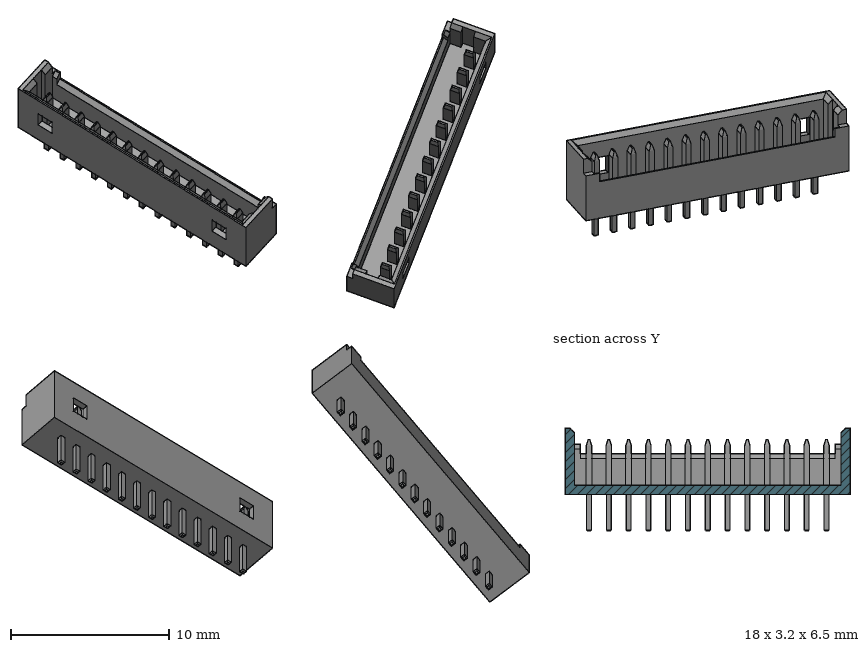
import cadquery as cq

LENGTH = 18.0
DEPTH = 3.2
HEIGHT = 4.2
FLOOR = 0.6
LONG_WALL = 0.4
END_WALL = 0.6
LEAD_IN = 0.3

SHOULDER_HEIGHT = 3.2
REAR_HEIGHT = 2.6
SHOULDER_END = 0.95

KEYWAY_FRONT = 1.2
KEYWAY_WIDTH = 0.85
KEYWAY_WALL = 0.3

WINDOW_WIDTH = 1.1
WINDOW_HEIGHT = 1.2
WINDOW_BASE = 1.58
WINDOW_OFFSET = 2.13

PIN_COUNT = 13
PITCH = 1.25
PIN_Y = 1.12
TAIL_SIZE = 0.32
TAIL_LENGTH = 2.3
TAIL_CHAMFER = 0.08
BLADE_WIDTH = 0.36
BLADE_DEPTH = 0.62
BLADE_BASE = FLOOR / 2
BLADE_TOP = 3.5
BLADE_TIP_HEIGHT = 0.4
TIP_WIDTH = 0.1
TIP_DEPTH = 0.44

CAVITY_LENGTH = LENGTH - 2 * END_WALL
REAR_INNER_Y = DEPTH - LONG_WALL


def box(x_size, y_min, y_max, z_min, z_max, x_center=0.0):
    """Block centred on x_center, spanning the given Y and Z ranges."""
    block = cq.Workplane("XY").box(x_size, y_max - y_min, z_max - z_min, centered=(True, False, False))
    return block.translate((x_center, y_min, z_min))


def rear_wall_cut(x_size, wall_top):
    """Cutter that lowers a stretch of the rear wall and bevels its inner edge."""
    profile = [
        (REAR_INNER_Y, HEIGHT),
        (REAR_INNER_Y, wall_top - LEAD_IN),
        (REAR_INNER_Y + LEAD_IN, wall_top),
        (DEPTH, wall_top),
        (DEPTH, HEIGHT),
    ]
    return cq.Workplane("YZ").polyline(profile).close().extrude(x_size / 2, both=True)


def lead_in_cut():
    """Flared mouth along the front wall and both end walls."""
    mouth_rear = REAR_INNER_Y + LEAD_IN
    flare = (
        cq.Workplane("XY", origin=(0, (LONG_WALL + mouth_rear) / 2, HEIGHT - LEAD_IN))
        .rect(CAVITY_LENGTH, mouth_rear - LONG_WALL)
        .workplane(offset=LEAD_IN)
        .rect(CAVITY_LENGTH + 2 * LEAD_IN, mouth_rear - LONG_WALL + 2 * LEAD_IN)
        .loft(ruled=True)
    )
    return flare.intersect(box(LENGTH, 0, REAR_INNER_Y, 0, HEIGHT))


def make_housing():
    housing = box(LENGTH, 0, DEPTH, 0, HEIGHT)
    housing = housing.cut(box(CAVITY_LENGTH, LONG_WALL, REAR_INNER_Y, FLOOR, HEIGHT))
    keyway_length = LENGTH - 2 * KEYWAY_WALL
    housing = housing.cut(box(keyway_length, KEYWAY_FRONT, KEYWAY_FRONT + KEYWAY_WIDTH, FLOOR, HEIGHT))
    housing = housing.cut(lead_in_cut())
    housing = housing.cut(box(LENGTH, REAR_INNER_Y, DEPTH, SHOULDER_HEIGHT, HEIGHT))
    housing = housing.cut(rear_wall_cut(CAVITY_LENGTH, SHOULDER_HEIGHT))
    housing = housing.cut(rear_wall_cut(LENGTH - 2 * SHOULDER_END, REAR_HEIGHT))
    for side in (-1, 1):
        window_x = side * (LENGTH / 2 - WINDOW_OFFSET)
        window_top = WINDOW_BASE + WINDOW_HEIGHT
        housing = housing.cut(box(WINDOW_WIDTH, 0, LONG_WALL, WINDOW_BASE, window_top, window_x))
    return housing


def make_pin():
    """Contact on the Z axis: square tail below the housing, tapered blade in the cavity."""
    tail = (
        cq.Workplane("XY", origin=(0, 0, -TAIL_LENGTH))
        .rect(TAIL_SIZE, TAIL_SIZE)
        .extrude(TAIL_LENGTH + FLOOR)
        .faces("<Z")
        .chamfer(TAIL_CHAMFER)
    )
    shank_top = BLADE_TOP - BLADE_TIP_HEIGHT
    shank = (
        cq.Workplane("XY", origin=(0, 0, BLADE_BASE))
        .rect(BLADE_WIDTH, BLADE_DEPTH)
        .extrude(shank_top - BLADE_BASE)
    )
    tip = (
        cq.Workplane("XY", origin=(0, 0, shank_top))
        .rect(BLADE_WIDTH, BLADE_DEPTH)
        .workplane(offset=BLADE_TIP_HEIGHT)
        .rect(TIP_WIDTH, TIP_DEPTH)
        .loft(ruled=True)
    )
    return tail.union(shank).union(tip)


result = make_housing()
pin = make_pin()
for index in range(PIN_COUNT):
    pin_x = (index - (PIN_COUNT - 1) / 2) * PITCH
    result = result.union(pin.translate((pin_x, PIN_Y, 0)))